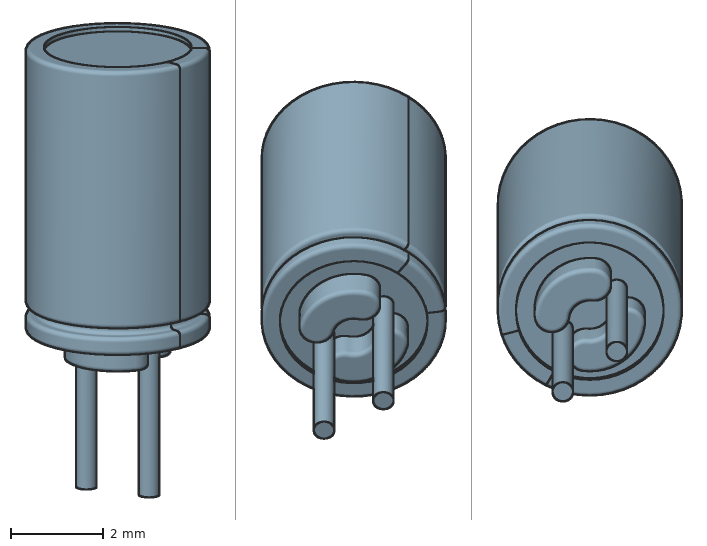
import cadquery as cq
import math

total_height = 10.0
can_radius = 2.0
can_bottom = 3.6
sleeve_wall = 0.1
lip_radius = 1.6
flange_height = 0.4
groove_radius = 0.1
groove_depth = 0.3
stripe_angle = 45.0
lead_diameter = 0.45
lead_pitch = 1.5
standoff_height = 0.6
standoff_outer_radius = 1.2
standoff_inner_radius = 0.45
standoff_half_angle = 45.0
standoff_fillet = 0.1

core_radius = can_radius - sleeve_wall
core_bottom = can_bottom + sleeve_wall
core_top = total_height - sleeve_wall
groove_bottom = can_bottom + flange_height
groove_middle = groove_bottom + groove_radius
groove_center_radius = can_radius - groove_depth + groove_radius
standoff_bottom = can_bottom - standoff_height


def grooved_cylinder(radius, bottom, top, groove_round):
    """Revolve a cylinder with a half-round-bottomed groove around it."""
    groove_low = groove_middle - groove_round
    groove_high = groove_middle + groove_round
    return (
        cq.Workplane("XZ")
        .moveTo(0, bottom)
        .lineTo(radius, bottom)
        .lineTo(radius, groove_low)
        .lineTo(groove_center_radius, groove_low)
        .threePointArc(
            (groove_center_radius - groove_round, groove_middle),
            (groove_center_radius, groove_high),
        )
        .lineTo(radius, groove_high)
        .lineTo(radius, top)
        .lineTo(0, top)
        .close()
        .revolve(360, (0, 0, 0), (0, 1, 0))
    )


def make_can_core():
    """Can inside the sleeve; its groove keeps the sleeve wall constant."""
    return grooved_cylinder(core_radius, core_bottom, core_top, groove_radius + sleeve_wall)


def make_full_sleeve():
    """Closed-round sleeve with rounded rims and a lip over each end of the can."""
    outside = grooved_cylinder(can_radius, can_bottom, total_height, groove_radius)
    rim = cq.selectors.RadiusNthSelector(-1)
    outside = outside.edges("%CIRCLE").edges(rim).fillet(sleeve_wall)
    opening = (
        cq.Workplane("XY")
        .workplane(offset=can_bottom)
        .circle(lip_radius)
        .extrude(total_height - can_bottom)
    )
    return outside.cut(make_can_core()).cut(opening)


def make_stripe_sector():
    """Wedge around +X that separates the stripe from the sleeve."""
    half_angle = math.radians(stripe_angle / 2)
    reach = 2 * can_radius
    corner_x = reach * math.cos(half_angle)
    corner_y = reach * math.sin(half_angle)
    return (
        cq.Workplane("XY")
        .polyline([(0, 0), (corner_x, -corner_y), (corner_x, corner_y)])
        .close()
        .extrude(total_height)
    )


def make_standoff(side):
    """Curved foot with round ends on the +Y (side = 1) or -Y (side = -1) half."""
    half_angle = math.radians(standoff_half_angle)
    middle_radius = (standoff_outer_radius + standoff_inner_radius) / 2
    end_radius = (standoff_outer_radius - standoff_inner_radius) / 2

    def at(radius, angle):
        return (radius * math.sin(angle), side * radius * math.cos(angle))

    def end_tip(direction):
        center_x, center_y = at(middle_radius, direction * half_angle)
        return (
            center_x + direction * end_radius * math.cos(half_angle),
            center_y - side * end_radius * math.sin(half_angle),
        )

    return (
        cq.Workplane("XY")
        .workplane(offset=standoff_bottom)
        .moveTo(*at(standoff_outer_radius, -half_angle))
        .threePointArc(at(standoff_outer_radius, 0), at(standoff_outer_radius, half_angle))
        .threePointArc(end_tip(1), at(standoff_inner_radius, half_angle))
        .threePointArc(at(standoff_inner_radius, 0), at(standoff_inner_radius, -half_angle))
        .threePointArc(end_tip(-1), at(standoff_outer_radius, -half_angle))
        .close()
        .extrude(core_bottom - standoff_bottom)
        .faces("<Z")
        .edges()
        .fillet(standoff_fillet)
    )


def make_leads():
    """Two straight leads that reach the underside of the can."""
    return (
        cq.Workplane("XY")
        .pushPoints([(-lead_pitch / 2, 0), (lead_pitch / 2, 0)])
        .circle(lead_diameter / 2)
        .extrude(core_bottom)
    )


def make_core():
    """Can core with its standoffs and leads, one solid."""
    body = make_can_core().union(make_leads())
    for side in (-1, 1):
        body = body.union(make_standoff(side))
    return body


full_sleeve = make_full_sleeve()
stripe_sector = make_stripe_sector()

core = make_core()
sleeve = full_sleeve.cut(stripe_sector)
stripe = full_sleeve.intersect(stripe_sector)

result = cq.Compound.makeCompound([core.solids().val(), sleeve.solids().val(), stripe.solids().val()])